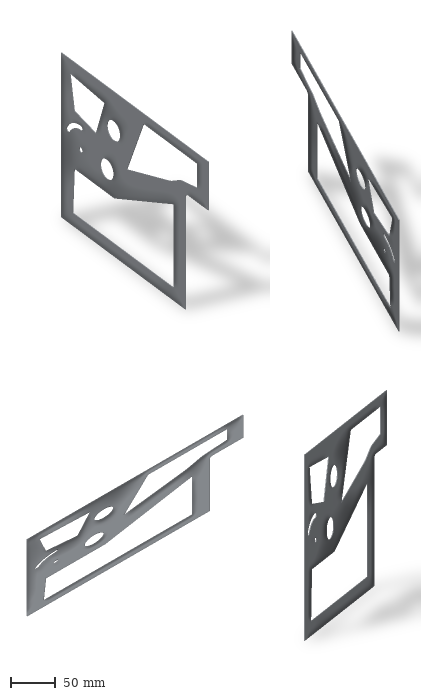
import cadquery as cq
import math

length = 285.8
height = 216.0
thickness = 1.03
body_length = 241.5
arm_underside = 152.3
inner_corner_radius = 5.1

large_diameter = 25.5
large_centers = [(101.7, 164.5), (89.0, 107.5)]
pivot_diameter = 6.3
pivot_x = 38.0
pivot_z = 107.5

slot_radius = 28.5
slot_width = 6.3
slot_start = 90.0
slot_end = 150.0

quad_window = [(17.0, 197.5), (84.0, 192.0), (67.2, 143.7), (25.1, 152.3)]
lower_window = [(22.0, 17.0), (25.1, 76.5), (103.5, 76.5), (218.5, 126.5), (218.5, 17.0)]

arm_window_left = (127.5, 126.5)
arm_window_top = 203.0
arm_window_top_left = 160.0
arm_window_right = 264.5
arm_window_right_bottom = 171.0
lower_bend = (212.0, 153.7)
lower_bend_radius = 31.5
upper_bend = (231.5, 165.0)
upper_bend_radius = 15.7


def prism(points):
    """Extrude an XZ outline through the plate thickness, toward +Y."""
    return cq.Workplane("XZ").polyline(points).close().extrude(-thickness)


def round_edge(body, point, radius):
    """Round the through-thickness edge nearest to an XZ point."""
    x, z = point
    edge = cq.selectors.NearestToPointSelector((x, thickness / 2, z))
    return body.edges("|Y").edges(edge).fillet(radius)


def disc(x, z, diameter):
    return cq.Workplane("XZ").center(x, z).circle(diameter / 2).extrude(-thickness)


def make_plate():
    plate = prism([
        (0, 0),
        (body_length, 0),
        (body_length, arm_underside),
        (length, arm_underside),
        (length, height),
        (0, height),
    ])
    return round_edge(plate, (body_length, arm_underside), inner_corner_radius)


def make_arm_window():
    window = prism([
        arm_window_left,
        (arm_window_top_left, arm_window_top),
        (arm_window_right, arm_window_top),
        (arm_window_right, arm_window_right_bottom),
        upper_bend,
        lower_bend,
    ])
    window = round_edge(window, upper_bend, upper_bend_radius)
    return round_edge(window, lower_bend, lower_bend_radius)


def make_curved_slot():
    inner = slot_radius - slot_width / 2
    outer = slot_radius + slot_width / 2
    middle = (slot_start + slot_end) / 2

    def polar(radius, degrees):
        angle = math.radians(degrees)
        return (pivot_x + radius * math.cos(angle), pivot_z + radius * math.sin(angle))

    band = (
        cq.Workplane("XZ")
        .moveTo(*polar(inner, slot_start))
        .threePointArc(polar(inner, middle), polar(inner, slot_end))
        .lineTo(*polar(outer, slot_end))
        .threePointArc(polar(outer, middle), polar(outer, slot_start))
        .close()
        .extrude(-thickness)
    )
    for end in (slot_start, slot_end):
        band = band.union(disc(*polar(slot_radius, end), slot_width))
    return band


result = make_plate()
for window in (prism(quad_window), prism(lower_window), make_arm_window(), make_curved_slot()):
    result = result.cut(window)
for x, z in large_centers:
    result = result.cut(disc(x, z, large_diameter))
result = result.cut(disc(pivot_x, pivot_z, pivot_diameter))